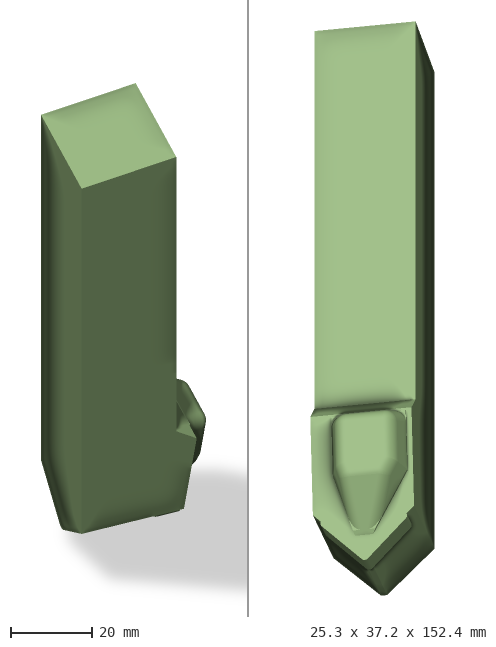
import cadquery as cq
import math

SHANK = 25.3
LENGTH = 152.4
LEAN = 7.5
FACE_Y = 25.6
HEAD_TOP_Z = 39.2
HEAD_TOP_Y = FACE_Y + HEAD_TOP_Z * math.tan(math.radians(LEAN))
RAMP = HEAD_TOP_Y - SHANK
POINT_V = 1.4
POINT_FLAT = 1.5
POINT_REACH = 198.1
INSERT_HALF_DIAGONAL = 11.3
INSERT_THICKNESS = 6.2
NOSE_RADIUS = 1.0
INSERT_CENTRE_V = INSERT_HALF_DIAGONAL - NOSE_RADIUS * (math.sqrt(2) - 1)
CLAMP_LEFT = -11.3
CLAMP_RIGHT = 7.3
CLAMP_BACK_V = 38.7
CLAMP_WAIST_V = 22.9
CLAMP_NOSE_V = 6.7
CLAMP_NOSE_HALF = 2.3
CLAMP_FOOT = 0.6
CLAMP_HEIGHT = 7.2
CLAMP_DRAFT = 19.0
CLAMP_FLAT_END_V = 20.4
CLAMP_ROUND = 3.2

lean_angle = math.radians(LEAN)
head_face = cq.Plane(
    origin=(0, FACE_Y, 0),
    xDir=(1, 0, 0),
    normal=(0, -math.cos(lean_angle), math.sin(lean_angle)),
)


def make_insert():
    d = INSERT_HALF_DIAGONAL
    square = [(0, -d), (d, 0), (0, d), (-d, 0)]
    plate = (
        cq.Workplane(head_face).center(0, INSERT_CENTRE_V)
        .polyline(square).close().extrude(INSERT_THICKNESS)
    )
    return plate.edges(cq.selectors.ParallelDirSelector(head_face.zDir)).fillet(NOSE_RADIUS)


def make_shank():
    face_foot_y = FACE_Y - SHANK * math.tan(lean_angle)
    profile = [
        (0, -SHANK),
        (face_foot_y, -SHANK),
        (HEAD_TOP_Y, HEAD_TOP_Z),
        (SHANK, HEAD_TOP_Z + RAMP),
        (SHANK, LENGTH),
        (0, LENGTH),
    ]
    bar = cq.Workplane("YZ").polyline(profile).close().extrude(SHANK / 2, both=True)
    flat = POINT_FLAT / 2
    half = SHANK / 2
    shoulder_v = POINT_V + half - flat
    point = [
        (-flat, POINT_V), (flat, POINT_V), (half, shoulder_v),
        (half, 2 * LENGTH), (-half, 2 * LENGTH), (-half, shoulder_v),
    ]
    envelope = (
        cq.Workplane(head_face).workplane(offset=-POINT_REACH)
        .polyline(point).close().extrude(2 * POINT_REACH)
    )
    return bar.intersect(envelope)


def make_clamp():
    plan = [
        (-CLAMP_NOSE_HALF, CLAMP_NOSE_V),
        (CLAMP_NOSE_HALF, CLAMP_NOSE_V),
        (CLAMP_RIGHT, CLAMP_WAIST_V),
        (CLAMP_RIGHT, CLAMP_BACK_V),
        (CLAMP_LEFT, CLAMP_BACK_V),
        (CLAMP_LEFT, CLAMP_WAIST_V),
    ]
    foot = cq.Workplane(head_face).polyline(plan).close().extrude(-CLAMP_FOOT)
    block = (
        cq.Workplane(head_face).workplane(offset=-CLAMP_FOOT).polyline(plan).close()
        .extrude(CLAMP_FOOT - CLAMP_HEIGHT, taper=CLAMP_DRAFT)
    )
    side = cq.Plane(origin=head_face.origin, xDir=head_face.yDir, normal=(1, 0, 0))
    nose_cut = [
        (CLAMP_NOSE_V, 0),
        (CLAMP_NOSE_V, -CLAMP_HEIGHT),
        (CLAMP_FLAT_END_V, -CLAMP_HEIGHT),
    ]
    cutter = cq.Workplane(side).polyline(nose_cut).close().extrude(SHANK, both=True)
    block = block.cut(cutter)
    outward = -head_face.zDir
    upper_faces = block.faces().filter(lambda face: face.normalAt().dot(outward) > 0.5)
    nose_tip = cq.selectors.DirectionMinMaxSelector(outward, False)
    upper_edges = upper_faces.edges(cq.selectors.InverseSelector(nose_tip))
    back_face = block.faces(cq.selectors.DirectionMinMaxSelector(head_face.yDir))
    back_edges = back_face.edges(cq.selectors.InverseSelector(nose_tip))
    rounded = block.newObject(upper_edges.add(back_edges).vals()).fillet(CLAMP_ROUND)
    return rounded.union(foot.cut(cutter))


insert = make_insert()
holder = make_shank().cut(insert).union(make_clamp())

result = cq.Compound.makeCompound([holder.solids().val(), insert.solids().val()])